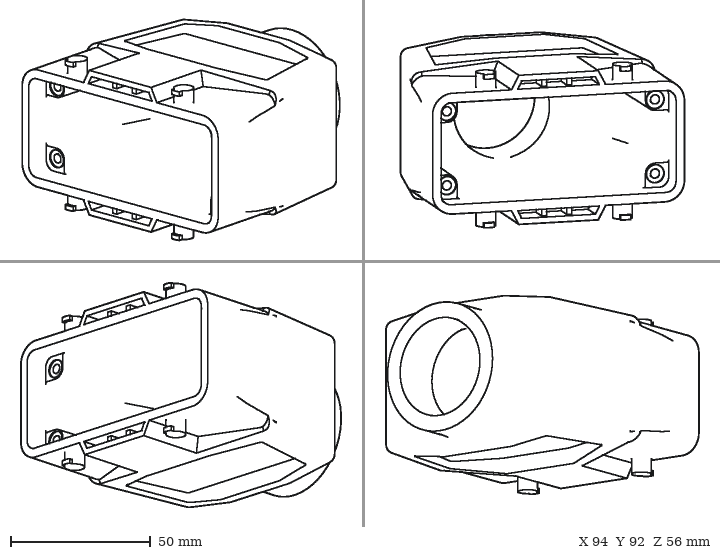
import cadquery as cq
import math


HALF_WIDTH = 47.0
BACK_Y = 76.3
BACK_HALF_WIDTH = 37.0
STRAIGHT_Y = 12.1
KINK_Y = 32.0
KINK_HALF_WIDTH = 45.5
SIDE_SLOPE = (KINK_HALF_WIDTH - BACK_HALF_WIDTH) / (BACK_Y - KINK_Y)

RIDGE_HALF_WIDTH = 14.8
RIDGE_Z = 27.3
ROOF_SLOPE = 0.15
BODY_FILLET = 3.3

SHELL_HALF_HEIGHT = 22.1
SHELL_CORNER = 7.5
SHELL_LENGTH = 37.6
WALL_LEAN = 28.0

RECESS_INNER_X = 17.6
RECESS_INNER_Y = 25.0
RECESS_OUTER_X = 41.2
RECESS_OUTER_Y = 34.0
RECESS_BOTTOM_Z = 14.1
RECESS_TOP_Z = RIDGE_Z + 0.9
CLEARANCE = 23.5

PANEL_FRONT_HALF_WIDTH = RIDGE_HALF_WIDTH
PANEL_FRONT_Y = 35.0
PANEL_SIDE_X = 32.8
PANEL_SIDE_Y = 41.4
PANEL_BACK_X = 28.3
PANEL_BACK_Y = 66.5
PANEL_CORNER = 0.9

SIDE_WALL = 3.2
CAVITY_HALF_HEIGHT = 18.6
CAVITY_BACK_HALF_HEIGHT = 17.6
CAVITY_BACK_HALF_WIDTH = 34.1
CAVITY_CORNER = 3.8
CAVITY_END_Y = 73.0
CAVITY_FLOOR_FILLET = 0.9

POST_INNER_X = 35.2
POST_INNER_Z = 9.6
POST_START_Y = 9.4
POST_CORNER = 3.8
POST_DRAFT = 0.5
POST_ROOT_FILLET = 0.75
SCREW_X = 38.8
SCREW_Z = 13.5
SCREW_RADIUS = 1.7
SCREW_DRAFT = 3.0
SCREW_DEPTH = 9.4
SEAT_RADIUS = 3.3
SEAT_DEPTH = 0.5

NECK_RADIUS = 23.5
NECK_END_Y = 92.0
NECK_FILLET = 2.1
BORE_RADIUS = 17.9

PIN_X = 25.5
PIN_Y = 5.6
PIN_RADIUS = 3.6
PIN_TOP_Z = 28.0
PIN_FILLET = 0.4
PIN_SUNK = 0.9
TAB_HALF_WIDTH = 1.9
TAB_FRONT_Y = 0.8
TAB_HEIGHT = 1.7

SLOT_BOTTOM_Z = 22.2
SLOT_TOP_Z = 25.1
SLOT_BOTTOM_HALF_WIDTH = 15.2
SLOT_TOP_HALF_WIDTH = 13.7
SLOT_DEPTH = 9.4
RIB_X = 4.7
RIB_WIDTH = 1.9
RIB_SETBACK = 2.35

MATING_PLANE = cq.Plane(origin=(0, 0, 0), xDir=(-1, 0, 0), normal=(0, 1, 0))


def section(start_y=0.0):
    return cq.Workplane(MATING_PLANE).workplane(offset=start_y)


def mirrored(shape, plane):
    return shape.union(shape.mirror(plane))


def plan_prism(half_outline, half_height):
    """Prism along Z from (x, y) points of the right half outline."""
    left_half = [(-x, y) for x, y in reversed(half_outline)]
    outline = half_outline + left_half
    base = cq.Workplane("XY").workplane(offset=-half_height)
    return base.polyline(outline).close().extrude(2 * half_height)


def leaning_prism(outline, bottom_z, top_z):
    """Prism that widens upward with the wall lean and has sharp corners.

    The outline is the section at the floor level of the recesses.
    """
    wires = []
    for z in (bottom_z, top_z):
        growth = (z - SHELL_HALF_HEIGHT) * math.tan(math.radians(WALL_LEAN))
        level = cq.Workplane("XY").workplane(offset=z).polyline(outline).close()
        if growth:
            level = level.offset2D(growth, "intersection")
        wires.append(level.val())
    return cq.Workplane(cq.Solid.makeLoft(wires, True))


def hood_plan():
    """Prism over the plan of the hood, kept wide beside the neck."""
    outline = [
        (HALF_WIDTH, 0),
        (HALF_WIDTH, STRAIGHT_Y),
        (KINK_HALF_WIDTH, KINK_Y),
        (BACK_HALF_WIDTH, BACK_Y),
        (BACK_HALF_WIDTH, NECK_END_Y),
    ]
    return plan_prism(outline, RIDGE_Z)


def box_region(corner, opposite):
    """Selects whatever has its center between two opposite box corners."""
    return cq.selectors.BoxSelector(corner, opposite)


def upper_body():
    """Body whose sides keep the steep taper all the way to Y = 0."""
    edge_x = BACK_HALF_WIDTH + SIDE_SLOPE * BACK_Y
    edge_z = RIDGE_Z - ROOF_SLOPE * (edge_x - RIDGE_HALF_WIDTH)
    roof = [
        (-edge_x, edge_z),
        (-RIDGE_HALF_WIDTH, RIDGE_Z),
        (RIDGE_HALF_WIDTH, RIDGE_Z),
        (edge_x, edge_z),
    ]
    underside = [(x, -z) for x, z in reversed(roof)]
    bar = section().polyline(roof + underside).close().extrude(BACK_Y)
    taper = plan_prism([(edge_x, 0), (BACK_HALF_WIDTH, BACK_Y)], RIDGE_Z)
    body = bar.intersect(taper)
    return body.faces("<X or >X or >Y").edges("not <Y").fillet(BODY_FILLET)


def body_with_neck():
    length = NECK_END_Y - CAVITY_END_Y
    neck = section(CAVITY_END_Y).circle(NECK_RADIUS).extrude(length)
    joined = upper_body().union(neck)
    margin = 0.9
    reach = NECK_RADIUS + margin
    neck_root = box_region((-reach, BACK_Y - margin, -reach), (reach, BACK_Y + margin, reach))
    return joined.edges(neck_root).edges("%CIRCLE").fillet(NECK_FILLET)


def pin_recesses():
    """Recesses on both sides of the centre block, opening outward."""
    outer_x = HALF_WIDTH + CLEARANCE
    floor_outline = [
        (RECESS_INNER_X, -CLEARANCE),
        (RECESS_INNER_X, RECESS_INNER_Y),
        (RECESS_OUTER_X, RECESS_OUTER_Y),
        (outer_x, RECESS_OUTER_Y),
        (outer_x, -CLEARANCE),
    ]
    recess = leaning_prism(floor_outline, RECESS_BOTTOM_Z, RECESS_TOP_Z)
    return mirrored(mirrored(recess, "YZ"), "XY")


def lower_shell():
    block = section().rect(2 * HALF_WIDTH, 2 * SHELL_HALF_HEIGHT).extrude(SHELL_LENGTH)
    block = block.edges("|Y").fillet(SHELL_CORNER)
    return block.intersect(hood_plan())


def label_panels():
    """Sunken label fields with a flat floor in both wide walls."""
    right_half = [
        (PANEL_FRONT_HALF_WIDTH, PANEL_FRONT_Y),
        (PANEL_SIDE_X, PANEL_SIDE_Y),
        (PANEL_BACK_X, PANEL_BACK_Y),
    ]
    left_half = [(-x, y) for x, y in reversed(right_half)]
    panel = leaning_prism(right_half + left_half, SHELL_HALF_HEIGHT, RECESS_TOP_Z)
    for side in (-1, 1):
        outer_part = box_region(
            (side * (PANEL_FRONT_HALF_WIDTH + PANEL_BACK_X) / 2, 0, SHELL_HALF_HEIGHT),
            (side * HALF_WIDTH, BACK_Y, RECESS_TOP_Z),
        )
        panel = panel.edges(outer_part).edges("not #Z").fillet(PANEL_CORNER)
    return mirrored(panel, "XY")


def screw_posts():
    """Corner posts with a rounded free edge, widening toward the back."""
    outer_x = HALF_WIDTH + CLEARANCE
    outer_z = CAVITY_HALF_HEIGHT + CLEARANCE
    width = outer_x - POST_INNER_X
    height = outer_z - POST_INNER_Z
    sketch = cq.Sketch().rect(width, height).vertices().fillet(POST_CORNER)
    center = ((outer_x + POST_INNER_X) / 2, (outer_z + POST_INNER_Z) / 2)
    base = section(POST_START_Y).center(*center).placeSketch(sketch)
    post = base.extrude(BACK_Y - POST_START_Y, taper=-POST_DRAFT)
    return mirrored(mirrored(post, "YZ"), "XY")


def screw_holes():
    spots = [(x, z) for x in (-SCREW_X, SCREW_X) for z in (-SCREW_Z, SCREW_Z)]
    holes = section(POST_START_Y).pushPoints(spots).circle(SCREW_RADIUS)
    holes = holes.extrude(SCREW_DEPTH, taper=SCREW_DRAFT)
    seats = section(POST_START_Y).pushPoints(spots).circle(SEAT_RADIUS)
    return holes.union(seats.extrude(SEAT_DEPTH))


def round_post_roots(space):
    """Fillet where each post meets the wide wall and the side wall."""
    side_root_x = POST_INNER_X + POST_CORNER
    wide_wall_z = (CAVITY_HALF_HEIGHT + CAVITY_BACK_HALF_HEIGHT) / 2
    reach = 0.9
    first_y = POST_START_Y + reach
    last_y = CAVITY_END_Y
    for x_sign in (-1, 1):
        for z_sign in (-1, 1):
            wide_wall_root = box_region(
                (x_sign * (POST_INNER_X - reach), first_y, z_sign * (wide_wall_z - reach)),
                (x_sign * (POST_INNER_X + reach), last_y, z_sign * (wide_wall_z + reach)),
            )
            side_wall_root = box_region(
                (x_sign * (side_root_x + reach), first_y, z_sign * (POST_INNER_Z - reach)),
                (x_sign * HALF_WIDTH, last_y, z_sign * (POST_INNER_Z + reach)),
            )
            roots = space.edges(wide_wall_root + side_wall_root)
            space = roots.fillet(POST_ROOT_FILLET)
    return space


def cavity():
    outline = [
        (HALF_WIDTH - SIDE_WALL, 0),
        (HALF_WIDTH - SIDE_WALL, STRAIGHT_Y),
        (KINK_HALF_WIDTH - SIDE_WALL, KINK_Y),
        (CAVITY_BACK_HALF_WIDTH, CAVITY_END_Y),
    ]
    tapered = plan_prism(outline, RIDGE_Z)
    opening = section().rect(2 * (HALF_WIDTH - SIDE_WALL), 2 * CAVITY_HALF_HEIGHT)
    straight = opening.extrude(CAVITY_END_Y).edges("|Y").fillet(CAVITY_CORNER)
    heights = [
        (0, CAVITY_HALF_HEIGHT),
        (CAVITY_END_Y, CAVITY_BACK_HALF_HEIGHT),
        (CAVITY_END_Y, -CAVITY_BACK_HALF_HEIGHT),
        (0, -CAVITY_HALF_HEIGHT),
    ]
    drafted = cq.Workplane("YZ").polyline(heights).close().extrude(HALF_WIDTH, both=True)
    space = tapered.intersect(straight).intersect(drafted)
    space = space.faces(">Y").edges().fillet(CAVITY_FLOOR_FILLET)
    return round_post_roots(space.cut(screw_posts()))


def centre_slots():
    """Trapezoid slots, each split by two ribs set back from the mating face."""
    outline = [
        (-SLOT_BOTTOM_HALF_WIDTH, SLOT_BOTTOM_Z),
        (SLOT_BOTTOM_HALF_WIDTH, SLOT_BOTTOM_Z),
        (SLOT_TOP_HALF_WIDTH, SLOT_TOP_Z),
        (-SLOT_TOP_HALF_WIDTH, SLOT_TOP_Z),
    ]
    slot = section().polyline(outline).close().extrude(SLOT_DEPTH)
    ribs = section(RIB_SETBACK).pushPoints([(-RIB_X, SLOT_TOP_Z), (RIB_X, SLOT_TOP_Z)])
    ribs = ribs.rect(RIB_WIDTH, SLOT_TOP_Z).extrude(SLOT_DEPTH)
    return mirrored(slot.cut(ribs), "XY")


def locking_pins():
    """Four pins with a foot fillet and a tab at the tip toward the mating face."""
    root_z = SHELL_HALF_HEIGHT - PIN_SUNK
    foot_radius = PIN_RADIUS + PIN_FILLET
    half_profile = cq.Workplane("XZ").moveTo(0, root_z).lineTo(foot_radius, root_z)
    half_profile = half_profile.lineTo(foot_radius, SHELL_HALF_HEIGHT)
    half_profile = half_profile.radiusArc((PIN_RADIUS, SHELL_HALF_HEIGHT + PIN_FILLET), PIN_FILLET)
    half_profile = half_profile.lineTo(PIN_RADIUS, PIN_TOP_Z).lineTo(0, PIN_TOP_Z).close()
    pin = half_profile.revolve(360, (0, 0), (0, 1)).translate((PIN_X, PIN_Y, 0))
    reach = PIN_Y - TAB_FRONT_Y
    tab = cq.Workplane("XY").workplane(offset=PIN_TOP_Z - TAB_HEIGHT).center(PIN_X, PIN_Y)
    tab = tab.circle(reach).extrude(TAB_HEIGHT)
    strip = cq.Workplane("XY").center(PIN_X, PIN_Y - reach / 2)
    tab = tab.intersect(strip.rect(2 * TAB_HALF_WIDTH, reach).extrude(PIN_TOP_Z))
    return mirrored(mirrored(pin.union(tab), "YZ"), "XY")


hood = body_with_neck()
hood = hood.cut(pin_recesses())
hood = hood.intersect(hood_plan())
hood = hood.union(lower_shell())
hood = hood.cut(label_panels())
hood = hood.cut(cavity())
hood = hood.cut(screw_holes())
hood = hood.cut(centre_slots())
hood = hood.cut(section().circle(BORE_RADIUS).extrude(NECK_END_Y))
result = hood.union(locking_pins())